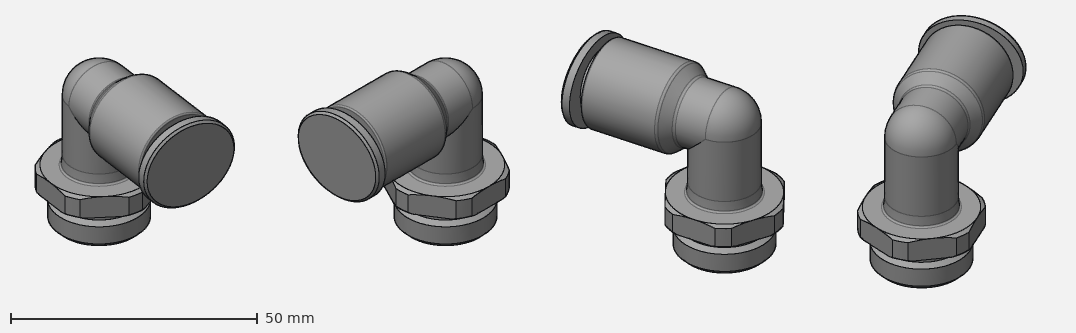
import cadquery as cq
import math

thread_radius = 10.45
thread_bottom_chamfer = 1.15
thread_top_z = 6.05
thread_top_cone_angle = 30.0
neck_radius = 9.1
neck_fillet_radius = 0.45

hex_sides = 6
hex_across_flats = 24.0
hex_corner_radius = 13.0
hex_bottom_z = 8.55
hex_height = 5.0
hex_top_z = hex_bottom_z + hex_height
hex_top_chamfer_angle = 25.0
hex_bottom_chamfer_width = 0.35
hex_bottom_chamfer_height = 0.2

elbow_radius = 7.5
branch_z = 30.4
flare_top_z = 16.1
flare_radius = 7.7
foot_fillet_radius = 0.4

sleeve_radius = 9.8
cone_start_x = 7.45
cone_end_x = 10.28
cone_blend_radius = 1.0
sleeve_end_x = 28.2
sleeve_edge_radius = 0.35

stem_radius = 7.05
flange_start_x = 29.95
flange_end_x = 32.2
flange_half_width = 11.25
flange_half_height = 9.75
flange_chamfer = 0.5


def make_threaded_end():
    """Thread body with a chamfered end, rising in a cone to a neck filleted under the collar."""
    cone_slope = math.tan(math.radians(thread_top_cone_angle))
    thread_shoulder_z = thread_top_z - (thread_radius - neck_radius) * cone_slope
    profile = [
        (0, 0),
        (thread_radius - thread_bottom_chamfer, 0),
        (thread_radius, thread_bottom_chamfer),
        (thread_radius, thread_shoulder_z),
        (neck_radius, thread_top_z),
        (neck_radius, hex_bottom_z - neck_fillet_radius),
    ]
    return (
        cq.Workplane("XZ")
        .polyline(profile)
        .radiusArc((neck_radius + neck_fillet_radius, hex_bottom_z), neck_fillet_radius)
        .lineTo(0, hex_bottom_z)
        .close()
        .revolve(360, (0, 0), (0, 1))
    )


def make_hex_collar():
    """Hexagon with corners on the X axis, trimmed by a turned blank with conical edges."""
    flat_radius = hex_across_flats / 2
    across_corners = hex_across_flats / math.cos(math.pi / hex_sides)
    hexagon = (
        cq.Workplane("XY")
        .workplane(offset=hex_bottom_z)
        .polygon(hex_sides, across_corners)
        .extrude(hex_height)
    )
    chamfer_width = hex_corner_radius - flat_radius
    top_chamfer_height = chamfer_width * math.tan(math.radians(hex_top_chamfer_angle))
    blank_profile = [
        (0, hex_bottom_z),
        (hex_corner_radius - hex_bottom_chamfer_width, hex_bottom_z),
        (hex_corner_radius, hex_bottom_z + hex_bottom_chamfer_height),
        (hex_corner_radius, hex_top_z - top_chamfer_height),
        (flat_radius, hex_top_z),
        (0, hex_top_z),
    ]
    blank = cq.Workplane("XZ").polyline(blank_profile).close().revolve(360, (0, 0), (0, 1))
    return hexagon.intersect(blank)


def make_upright_leg():
    """Vertical leg that widens slightly towards a small fillet on the collar."""
    profile = [
        (0, branch_z),
        (elbow_radius, branch_z),
        (elbow_radius, flare_top_z),
        (flare_radius, hex_top_z + foot_fillet_radius),
    ]
    return (
        cq.Workplane("XZ")
        .polyline(profile)
        .radiusArc((flare_radius + foot_fillet_radius, hex_top_z), -foot_fillet_radius)
        .lineTo(0, hex_top_z)
        .close()
        .revolve(360, (0, 0), (0, 1))
    )


def make_branch():
    """Horizontal leg and sleeve, with the cone between them blended at both ends."""
    profile = [
        (0, 0),
        (0, elbow_radius),
        (cone_start_x, elbow_radius),
        (cone_end_x, sleeve_radius),
        (sleeve_end_x, sleeve_radius),
        (sleeve_end_x, 0),
    ]
    branch = cq.Workplane("XZ").polyline(profile).close().revolve(360, (0, 0), (1, 0))
    branch = branch.faces("%CONE").edges("%CIRCLE").fillet(cone_blend_radius)
    branch = branch.faces(">X").edges().fillet(sleeve_edge_radius)
    return branch.translate((0, 0, branch_z))


def make_release_button():
    stem = (
        cq.Workplane("YZ", origin=(sleeve_end_x, 0, branch_z))
        .circle(stem_radius)
        .extrude(flange_start_x - sleeve_end_x)
    )
    flange = (
        cq.Workplane("YZ", origin=(flange_start_x, 0, branch_z))
        .ellipse(flange_half_width, flange_half_height)
        .extrude(flange_end_x - flange_start_x)
        .faces(">X")
        .edges()
        .chamfer(flange_chamfer)
    )
    return stem.union(flange)


ball = cq.Workplane("XY").sphere(elbow_radius).translate((0, 0, branch_z))

result = (
    make_threaded_end()
    .union(make_hex_collar())
    .union(make_upright_leg())
    .union(ball)
    .union(make_branch())
    .union(make_release_button())
)